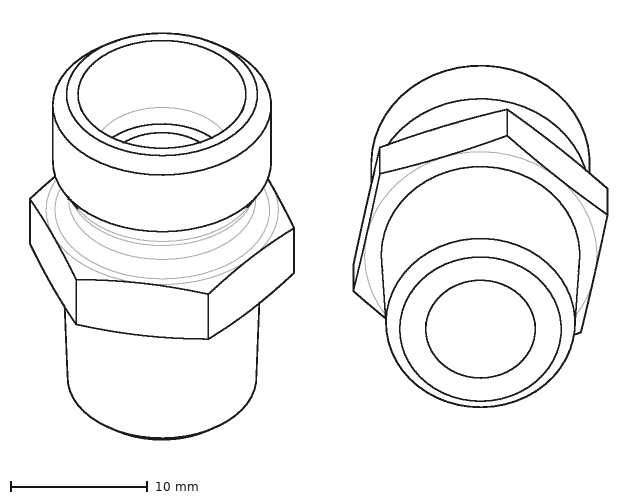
import cadquery as cq
import math

height = 28.0
hex_bottom = 12.0
hex_top = 17.0
shoulder_top = 21.6
end_chamfer = 1.0

hex_across_flats = 17.0
hex_across_corners = hex_across_flats / math.cos(math.radians(30))
hex_chamfer_angle = 15.0
body_diameter = 16.0
neck_diameter = 13.7
neck_fillet = 1.0
shoulder_half_angle = 30.0
taper_ratio = 1 / 16
taper_small_diameter = 13.83
taper_large_diameter = taper_small_diameter + (hex_bottom - end_chamfer) * taper_ratio

bore_diameter = 8.0
tube_diameter = 10.0
tube_depth = 7.0
mouth_diameter = 12.3
mouth_half_angle = 12.0
mouth_depth = (mouth_diameter - tube_diameter) / 2 / math.tan(math.radians(mouth_half_angle))


def revolve_profile(profile):
    """Turn a closed (radius, height) profile around the Z axis."""
    return profile.close().revolve(360, (0, 0, 0), (0, 1, 0))


def make_turned_body():
    """Tapered thread end, neck and cylindrical connection end."""
    taper_large = taper_large_diameter / 2
    taper_small = taper_small_diameter / 2
    neck = neck_diameter / 2
    body = body_diameter / 2
    fillet_middle = neck_fillet * (1 - math.sqrt(0.5))

    slope = math.radians(shoulder_half_angle)
    neck_top = shoulder_top - (body - neck) / math.tan(slope)
    blend_start = neck_top - neck_fillet * math.tan(slope / 2)

    def blend_point(angle):
        return (
            neck + neck_fillet * (1 - math.cos(angle)),
            blend_start + neck_fillet * math.sin(angle),
        )

    profile = (
        cq.Workplane("XZ")
        .lineTo(taper_small - end_chamfer, 0)
        .lineTo(taper_small, end_chamfer)
        .lineTo(taper_large, hex_bottom)
        .lineTo(neck + neck_fillet, hex_bottom)
        .lineTo(neck + neck_fillet, hex_top)
        .threePointArc(
            (neck + fillet_middle, hex_top + fillet_middle),
            (neck, hex_top + neck_fillet),
        )
        .lineTo(neck, blend_start)
        .threePointArc(blend_point(slope / 2), blend_point(slope))
        .lineTo(body, shoulder_top)
        .lineTo(body, height - end_chamfer)
        .lineTo(body - end_chamfer, height)
        .lineTo(0, height)
    )
    return revolve_profile(profile)


def make_hexagon():
    """Wrench hexagon with corners along Y, its corners turned off at both faces."""
    prism = (
        cq.Workplane("XY", origin=(0, 0, hex_bottom))
        .polygon(6, hex_across_corners)
        .extrude(hex_top - hex_bottom)
        .rotate((0, 0, 0), (0, 0, 1), 90)
    )
    face_radius = hex_across_flats / 2
    corner_radius = hex_across_corners / 2
    corner_drop = (corner_radius - face_radius) * math.tan(math.radians(hex_chamfer_angle))
    envelope = revolve_profile(
        cq.Workplane("XZ")
        .moveTo(0, hex_bottom)
        .lineTo(face_radius, hex_bottom)
        .lineTo(corner_radius, hex_bottom + corner_drop)
        .lineTo(corner_radius, hex_top - corner_drop)
        .lineTo(face_radius, hex_top)
        .lineTo(0, hex_top)
    )
    return prism.intersect(envelope)


def make_passage():
    """Through bore, tube socket and conical mouth."""
    tube = tube_diameter / 2
    return revolve_profile(
        cq.Workplane("XZ")
        .lineTo(bore_diameter / 2, 0)
        .lineTo(bore_diameter / 2, height - tube_depth)
        .lineTo(tube, height - tube_depth)
        .lineTo(tube, height - mouth_depth)
        .lineTo(mouth_diameter / 2, height)
        .lineTo(0, height)
    )


result = make_turned_body().union(make_hexagon()).cut(make_passage())